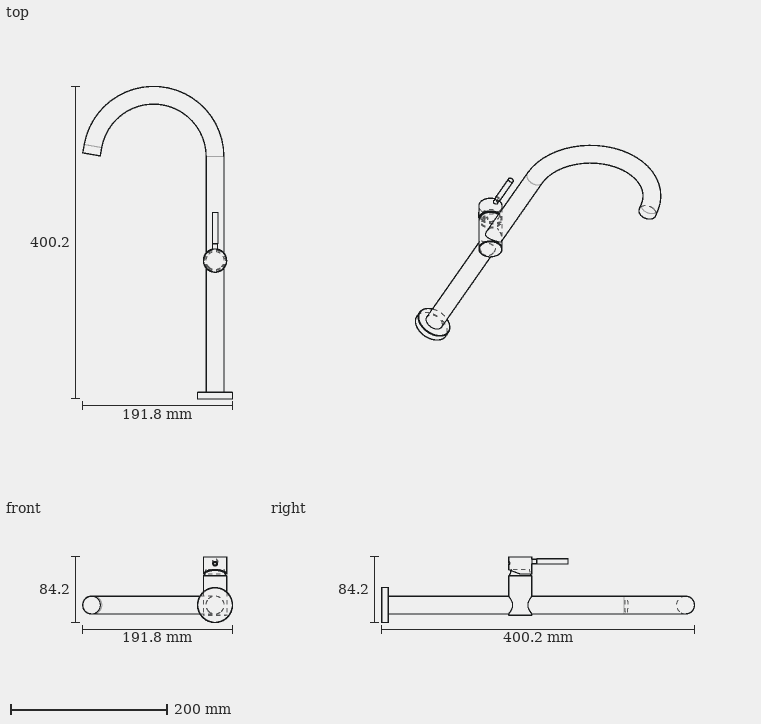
import cadquery as cq
import math

tube_radius = 11.5
bend_radius = 78.64
bend_angle = 170.0
overall_length = 400.16
riser_end = overall_length - bend_radius - tube_radius
outlet_length = 11.0

flange_radius = 22.5
flange_thickness = 9.0
flange_chamfer = 0.7

valve_y = 177.2
valve_radius = 15.0
valve_bottom = -13.5
valve_top = 38.0
valve_chamfer = 0.7

neck_base_radius = 13.8
neck_top_radius = 11.5
neck_height = 7.5

handle_bottom = 39.6
handle_top = 61.71
relief_rise = 5.7

lever_z = 55.8
lever_radius = 3.5
lever_start = 21.0
lever_end = 61.2
lever_chamfer = 0.7
stem_radius = 3.0

screw_z = 52.8
screw_hole_radius = 3.0
screw_hole_depth = 1.0
screw_socket_radius = 1.75
screw_socket_depth = 2.0


def upright_cylinder(radius, bottom, top):
    """Cylinder on the valve axis."""
    return cq.Workplane("XY", origin=(0, valve_y, bottom)).circle(radius).extrude(top - bottom)


def rod_along_y(radius, z, start, end):
    """Rod along +Y, with its ends at the given distances from the valve axis."""
    plane = cq.Plane(origin=(0, valve_y + start, z), xDir=(1, 0, 0), normal=(0, 1, 0))
    return cq.Workplane(plane).circle(radius).extrude(end - start)


def make_neck():
    cone = cq.Solid.makeCone(
        neck_base_radius, neck_top_radius, neck_height, pnt=cq.Vector(0, valve_y, valve_top)
    )
    return cq.Workplane(obj=cone)


def make_spout_tube():
    """Riser, bend and straight outlet, swept along one tangent path."""

    def bend_point(angle):
        turn = math.radians(angle)
        return (bend_radius * (math.cos(turn) - 1), riser_end + bend_radius * math.sin(turn))

    bend_end = bend_point(bend_angle)
    turn = math.radians(bend_angle)
    outlet_end = (
        bend_end[0] - outlet_length * math.sin(turn),
        bend_end[1] + outlet_length * math.cos(turn),
    )
    path = (
        cq.Workplane("XY")
        .lineTo(0, riser_end)
        .threePointArc(bend_point(bend_angle / 2), bend_end)
        .lineTo(*outlet_end)
    )
    return cq.Workplane("XZ").circle(tube_radius).sweep(path)


def make_faucet_body():
    flange_plane = cq.Plane(origin=(0, 0, 0), xDir=(1, 0, 0), normal=(0, 1, 0))
    flange = cq.Workplane(flange_plane).circle(flange_radius).extrude(flange_thickness)
    flange = flange.faces(">Y").chamfer(flange_chamfer)
    valve = upright_cylinder(valve_radius, valve_bottom, valve_top)
    valve = valve.faces("<Z or >Z").chamfer(valve_chamfer)
    return make_spout_tube().union(flange).union(valve).union(make_neck())


def make_handle():
    cap = upright_cylinder(valve_radius, handle_bottom, handle_top)

    relief = (
        cq.Workplane("YZ", origin=(-valve_radius, 0, 0))
        .moveTo(valve_y, handle_bottom)
        .lineTo(valve_y - valve_radius, handle_bottom)
        .lineTo(valve_y - valve_radius, handle_bottom + relief_rise)
        .close()
        .extrude(2 * valve_radius)
    )
    cap = cap.cut(relief).cut(make_neck())

    screw_hole = rod_along_y(screw_hole_radius, screw_z, -valve_radius, screw_hole_depth - valve_radius)
    socket = rod_along_y(screw_socket_radius, screw_z, -valve_radius, screw_socket_depth - valve_radius)
    cap = cap.cut(screw_hole).cut(socket)

    stem = rod_along_y(stem_radius, lever_z, 0, lever_start)
    lever = rod_along_y(lever_radius, lever_z, lever_start, lever_end)
    lever = lever.faces("<Y").chamfer(lever_chamfer)
    return cap.union(stem).union(lever)


faucet_body = make_faucet_body()
handle = make_handle()

result = cq.Compound.makeCompound([faucet_body.solids().val(), handle.solids().val()])